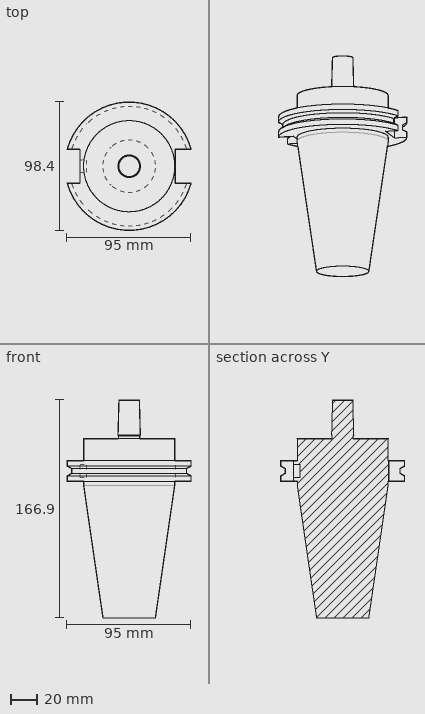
import cadquery as cq
import math

gauge_diameter = 69.85
taper_length = 101.6
taper_rate = 7 / 24
small_end_diameter = gauge_diameter - taper_length * taper_rate

land_length = 3.175

flange_diameter = 98.425
flange_thickness = 15.875
groove_floor_diameter = 91.8
groove_floor_width = 3.6
groove_flank_angle = 30

slot_width = 25.9
left_slot_floor_offset = 37.7
right_slot_floor_offset = 35.3
slot_hole_diameter = 9.7
slot_hole_depth = 5.0

nose_diameter = gauge_diameter
nose_length = 16.8

total_length = 166.88
arbor_length = 26.7
arbor_base_diameter = 17.24
arbor_tip_diameter = 15.85
neck_diameter = 16.4
neck_chamfer_length = 0.6

z_bottom = -taper_length
z_flange_bottom = land_length
z_flange_top = z_flange_bottom + flange_thickness
z_flange_middle = (z_flange_bottom + z_flange_top) / 2
z_nose_top = z_flange_top + nose_length
z_tip = z_bottom + total_length
z_arbor_base = z_tip - arbor_length


def make_turned_body():
    """Revolve the half outline of the whole holder about Z."""
    outline = [
        (0, z_bottom),
        (small_end_diameter / 2, z_bottom),
        (gauge_diameter / 2, 0),
        (gauge_diameter / 2, z_flange_bottom),
        (flange_diameter / 2, z_flange_bottom),
        (flange_diameter / 2, z_flange_top),
        (nose_diameter / 2, z_flange_top),
        (nose_diameter / 2, z_nose_top),
        (neck_diameter / 2, z_nose_top),
        (neck_diameter / 2, z_arbor_base - neck_chamfer_length),
        (arbor_base_diameter / 2, z_arbor_base),
        (arbor_tip_diameter / 2, z_tip),
        (0, z_tip),
    ]
    return cq.Workplane("XZ").polyline(outline).close().revolve(360, (0, 0), (0, 1))


def make_rim_groove():
    """V-groove ring with a flat floor, centred in the flange thickness."""
    floor_radius = groove_floor_diameter / 2
    rim_radius = flange_diameter / 2
    flank_rise = (rim_radius - floor_radius) * math.tan(math.radians(groove_flank_angle))
    floor_half = groove_floor_width / 2
    mouth_half = floor_half + flank_rise
    outline = [
        (floor_radius, z_flange_middle - floor_half),
        (rim_radius, z_flange_middle - mouth_half),
        (rim_radius, z_flange_middle + mouth_half),
        (floor_radius, z_flange_middle + floor_half),
    ]
    return cq.Workplane("XZ").polyline(outline).close().revolve(360, (0, 0), (0, 1))


def make_drive_slot(side, floor_offset):
    """Slot across the full flange thickness; side is -1 for -X and +1 for +X."""
    slot_depth = flange_diameter / 2 - floor_offset
    slot_middle = floor_offset + slot_depth / 2
    slot = cq.Workplane("XY").box(slot_depth, slot_width, flange_thickness)
    return slot.translate((side * slot_middle, 0, z_flange_middle))


def make_left_slot_hole():
    """Blind round hole running along +X from the floor of the left slot."""
    return (
        cq.Workplane("YZ", origin=(-left_slot_floor_offset, 0, z_flange_middle))
        .circle(slot_hole_diameter / 2)
        .extrude(slot_hole_depth)
    )


result = (
    make_turned_body()
    .cut(make_rim_groove())
    .cut(make_drive_slot(-1, left_slot_floor_offset))
    .cut(make_drive_slot(1, right_slot_floor_offset))
    .cut(make_left_slot_hole())
)